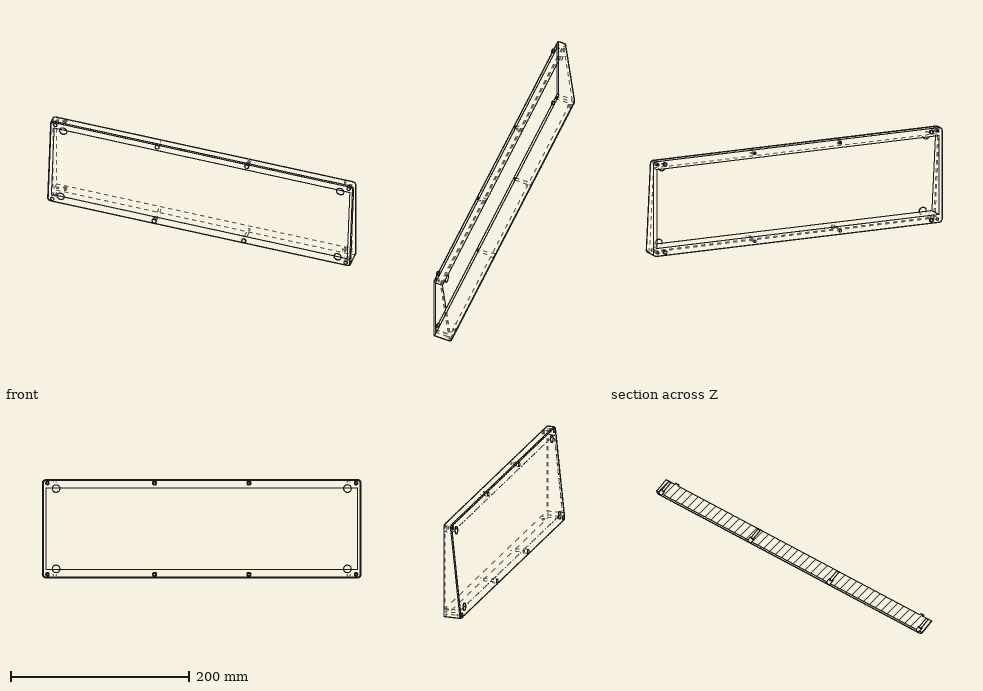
import cadquery as cq
import math

length = 357.5
height = 110.0
total_depth = 22.0
pin_length = 2.0
slope_angle = 6.0
corner_radius = 4.0
edge_chamfer = 1.0

long_wall = 9.3
end_wall = 4.3
floor_thickness = 1.0

pin_diameter = 4.0
pin_edge_x = 14.0
pin_edge_z = 4.0

foot_diameter = 8.5
foot_depth = 0.5
foot_edge_x = 15.5
foot_edge_z = 10.0

screw_edge_z = 4.0
counterbore_depth = 5.5
corner_screw_edge_x = 5.7
corner_screw_diameter = 2.55
corner_counterbore_diameter = 4.0
middle_screw_x = 53.0
middle_screw_diameter = 2.7
middle_counterbore_diameter = 4.5

slope = math.tan(math.radians(slope_angle))
half_length = length / 2
half_height = height / 2
bottom_depth = total_depth - pin_length + edge_chamfer * slope
top_depth = bottom_depth - height * slope


def mirrored_points(x, z):
    """The four points symmetric about the X and Z axes."""
    return [(sx * x, sz * z) for sx in (-1, 1) for sz in (-1, 1)]


def slope_y(z):
    """Y of the sloped face at height z."""
    return -(bottom_depth - (z + half_height) * slope)


def cylinder(x, z, y_start, y_end, diameter):
    """Cylinder along Y between two Y positions."""
    return cq.Workplane(
        cq.Solid.makeCylinder(
            diameter / 2, y_end - y_start, cq.Vector(x, y_start, z), cq.Vector(0, 1, 0)
        )
    )


def make_wedge():
    """Wedge with rounded corners and a chamfer around the sloped face."""
    profile = [
        (0, -half_height),
        (-bottom_depth, -half_height),
        (-top_depth, half_height),
        (0, half_height),
    ]
    wedge = cq.Workplane("YZ").polyline(profile).close().extrude(half_length, both=True)
    wedge = wedge.edges("|Y").fillet(corner_radius)
    return wedge.faces("<Y").edges().chamfer(edge_chamfer)


def cut_cavity(body):
    """Open the wedge from the back, leaving a floor of even thickness behind the sloped face."""
    floor_shift = floor_thickness / math.cos(math.radians(slope_angle))
    cavity_z = half_height - long_wall
    profile = [
        (pin_length, -cavity_z),
        (slope_y(-cavity_z) + floor_shift, -cavity_z),
        (slope_y(cavity_z) + floor_shift, cavity_z),
        (pin_length, cavity_z),
    ]
    cavity = cq.Workplane("YZ").polyline(profile).close().extrude(half_length - end_wall, both=True)
    return body.cut(cavity)


def add_pins(body):
    for x, z in mirrored_points(half_length - pin_edge_x, half_height - pin_edge_z):
        body = body.union(cylinder(x, z, -pin_length, pin_length, pin_diameter))
    return body


def cut_feet(body):
    for x, z in mirrored_points(half_length - foot_edge_x, half_height - foot_edge_z):
        seat_plane = cq.Plane(
            origin=(x, slope_y(z), z), xDir=(1, 0, 0), normal=(0, 1, -slope)
        )
        body = body.cut(cq.Workplane(seat_plane).circle(foot_diameter / 2).extrude(foot_depth))
    return body


def cut_screws(body, x_position, hole_diameter, counterbore_diameter):
    for x, z in mirrored_points(x_position, half_height - screw_edge_z):
        seat_y = slope_y(z) + counterbore_depth
        body = body.cut(cylinder(x, z, -total_depth, pin_length, hole_diameter))
        body = body.cut(cylinder(x, z, -total_depth, seat_y, counterbore_diameter))
    return body


result = make_wedge()
result = cut_cavity(result)
result = add_pins(result)
result = cut_feet(result)
result = cut_screws(
    result, half_length - corner_screw_edge_x, corner_screw_diameter, corner_counterbore_diameter
)
result = cut_screws(result, middle_screw_x, middle_screw_diameter, middle_counterbore_diameter)